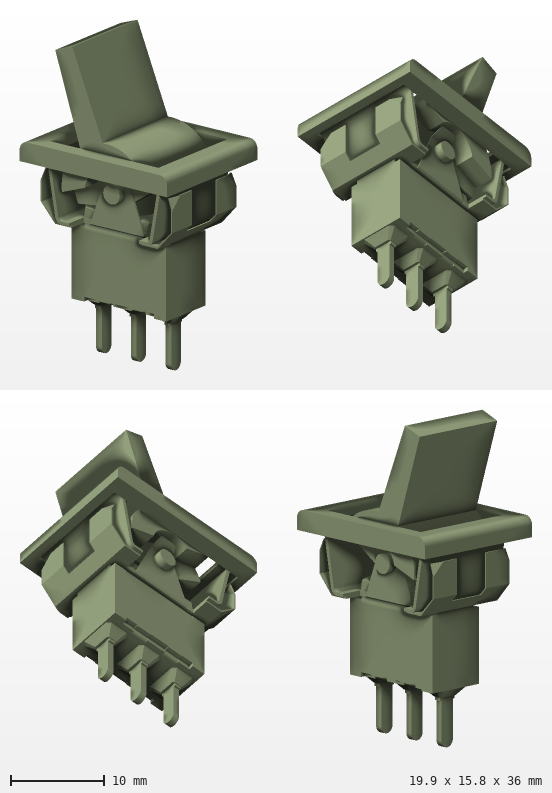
import cadquery as cq
import math


FRAME_LENGTH = 19.85
FRAME_DEPTH = 15.8
FRAME_BOTTOM = 22.55
FRAME_THICKNESS = 2.3
FRAME_EDGE_RADIUS = 1.0
WINDOW_LENGTH = 14.68
WINDOW_DEPTH = 12.1
LIP_HALF_X = 6.48
LIP_UNDERSIDE = 23.3
FLANGE_POCKET_HALF_X = 8.8

BODY_LENGTH = 12.75
BODY_DEPTH = 6.85
BODY_BOTTOM = 6.62
BODY_TOP = 15.75
COVER_LENGTH = 9.43
COVER_RADIUS = 1.0
CORNER_NOTCH_BOTTOM = 15.08
CORNER_NOTCH_HALF_Y = 2.63
BOSS_RADIUS = 5.85
BOSS_TOP = 17.25
BOSS_DRAFT = 7.0
BUSHING_DIAMETER = 5.2
BUSHING_TOP = 19.6
BASE_WINDOW_HEIGHT = 0.55
BASE_RECESS = 0.58
BASE_GAP_INNER = 1.25
BASE_GAP_OUTER = 3.15
BASE_GAP_RADIUS = 0.43

TERMINAL_PITCH = 4.68
TERMINAL_WIDTH = 0.8
BLADE_DEPTH = 1.65
COLLAR_DEPTH = 2.1
COLLAR_BOTTOM = 5.2
SEAL_BOTTOM = 5.6
SEAL_TOP_X, SEAL_TOP_Y = 3.05, 4.3
SEAL_LOW_X, SEAL_LOW_Y = 1.35, 2.23
SEAL_TOP_CORNER = 0.43
SEAL_LOW_CORNER = 0.18

BRACKET_THICKNESS = 0.35
BRACKET_FLOOR_HALF_X = 6.45
BRACKET_TOP_HALF_X = 7.75
BRACKET_DEPTH = WINDOW_DEPTH
BRACKET_BEND_RADIUS = 0.5

EAR_INNER_Y = 3.53
EAR_THICKNESS = 0.2
EAR_BOTTOM = 15.5
EAR_BOTTOM_HALF_X = 3.7
EAR_BEND_Z = 21.5
EAR_BEND_HALF_X = 1.48
EAR_TIP_HALF_X = 1.05
EAR_TIP_RISE = 1.15
EAR_EDGE_CHAMFER = 0.18

CLIP_THICKNESS = 0.15
CLIP_FLOOR_THICKNESS = 0.25
CLIP_DEPTH = 11.23
CLIP_HALF_X = 8.85
CLIP_FOOT_HALF_X = 6.9
CLIP_KNEE_Z = 17.65
CLIP_TOP = 21.6
CLIP_SLOT_DEPTH = 4.25
CLIP_SLOT_BOTTOM = 16.85
CLIP_CORNER = 1.48
CLIP_FOLD_ANGLE = 32.0

PIVOT_Z = 19.97
PIVOT_DIAMETER = 2.2
PIN_LENGTH = 9.5
ROCKER_TILT = -20.0
ROCKER_DEPTH = 11.4
ROCKER_CORE_DEPTH = 7.0
ROCKER_RADIUS = 5.97
ROCKER_CORNER_Z = -0.43
ROCKER_UNDERSIDE_SLOPE = 13.0
RECESS_Z = 1.4
RECESS_RADIUS = 2.88
LEVER_TOP_Z = 16.6
LEVER_TOP_HALF_X = 1.22
LEVER_ROOT_Z = 5.05
LEVER_ROOT_HALF_X = 1.65


def box(x0, x1, y0, y1, z0, z1):
    """Block between two opposite corners."""
    return cq.Workplane("XY").box(x1 - x0, y1 - y0, z1 - z0, centered=False).translate((x0, y0, z0))


def centered_block(length, depth, z0, z1):
    return box(-length / 2, length / 2, -depth / 2, depth / 2, z0, z1)


def across(outline, depth):
    """Extrude an XZ outline by depth, centred on Y = 0."""
    return cq.Workplane("XZ").polyline(outline).close().extrude(depth / 2, both=True)


def both_sides(shape, plane):
    return shape.union(shape.mirror(plane))


def make_frame():
    top = FRAME_BOTTOM + FRAME_THICKNESS
    plate = centered_block(FRAME_LENGTH, FRAME_DEPTH, FRAME_BOTTOM, top)
    plate = plate.faces(">Z").edges("|Y").fillet(FRAME_EDGE_RADIUS)
    ramp = WINDOW_LENGTH / 2 - LIP_HALF_X
    window = across([
        (-WINDOW_LENGTH / 2, top), (WINDOW_LENGTH / 2, top), (LIP_HALF_X, top - ramp),
        (LIP_HALF_X, FRAME_BOTTOM), (-LIP_HALF_X, FRAME_BOTTOM), (-LIP_HALF_X, top - ramp),
    ], WINDOW_DEPTH)
    flange_pocket = centered_block(2 * FLANGE_POCKET_HALF_X, WINDOW_DEPTH, FRAME_BOTTOM, LIP_UNDERSIDE)
    return plate.cut(window).cut(flange_pocket)


def make_body():
    half_y = BODY_DEPTH / 2
    core = centered_block(BODY_LENGTH, BODY_DEPTH, BODY_BOTTOM, CORNER_NOTCH_BOTTOM)
    ridge = centered_block(BODY_LENGTH, 2 * CORNER_NOTCH_HALF_Y, BODY_BOTTOM, BODY_TOP)
    cover = centered_block(COVER_LENGTH, BODY_DEPTH, BODY_BOTTOM, BODY_TOP)
    cover = cover.faces(">Z").edges("|X").fillet(COVER_RADIUS)
    clearance = centered_block(COVER_LENGTH, BODY_DEPTH, BODY_TOP - COVER_RADIUS, BODY_TOP)
    body = core.union(ridge).cut(clearance).union(cover)

    boss = cq.Workplane("XY").workplane(offset=BODY_TOP).circle(BOSS_RADIUS)
    boss = boss.extrude(BOSS_TOP - BODY_TOP, taper=BOSS_DRAFT)
    boss = boss.intersect(centered_block(2 * BOSS_RADIUS, BODY_DEPTH, BODY_TOP, BOSS_TOP))
    bushing = cq.Workplane("XY").workplane(offset=BODY_TOP).circle(BUSHING_DIAMETER / 2)
    bushing = bushing.extrude(BUSHING_TOP - BODY_TOP)
    body = body.union(boss).union(bushing)

    base_y = BASE_RECESS - half_y
    end_x = COVER_LENGTH / 2
    window_top = BODY_BOTTOM + BASE_WINDOW_HEIGHT
    round_y = base_y + BASE_GAP_RADIUS
    round_z = BODY_BOTTOM + BASE_GAP_RADIUS
    middle_window = box(-BASE_GAP_INNER, BASE_GAP_INNER, -half_y, base_y, BODY_BOTTOM, window_top)
    end_window = box(BASE_GAP_OUTER, end_x, -half_y, base_y, BODY_BOTTOM, window_top)
    gap = box(BASE_GAP_INNER, BASE_GAP_OUTER, -half_y, round_y, BODY_BOTTOM, round_z)
    rounding = cq.Workplane("YZ").center(round_y, round_z).circle(BASE_GAP_RADIUS).extrude(BASE_GAP_OUTER)
    cuts = both_sides(end_window.union(gap.cut(rounding)), "YZ").union(middle_window)
    return body.cut(both_sides(cuts, "XZ"))


def seal_section(plane, length, depth, corner):
    """Rectangle with its four corners cut off."""
    x, y = length / 2, depth / 2
    return plane.polyline([
        (x - corner, y), (x, y - corner), (x, corner - y), (x - corner, -y),
        (corner - x, -y), (-x, corner - y), (-x, y - corner), (corner - x, y),
    ]).close()


def make_terminal():
    tip_radius = BLADE_DEPTH / 2
    blade = centered_block(TERMINAL_WIDTH, BLADE_DEPTH, tip_radius, SEAL_BOTTOM)
    tip = cq.Workplane("YZ").center(0, tip_radius).circle(tip_radius).extrude(TERMINAL_WIDTH / 2, both=True)
    collar = centered_block(TERMINAL_WIDTH, COLLAR_DEPTH, COLLAR_BOTTOM, SEAL_BOTTOM)
    seal = cq.Workplane("XY").workplane(offset=SEAL_BOTTOM)
    seal = seal_section(seal, SEAL_LOW_X, SEAL_LOW_Y, SEAL_LOW_CORNER)
    seal = seal.workplane(offset=BODY_BOTTOM - SEAL_BOTTOM)
    seal = seal_section(seal, SEAL_TOP_X, SEAL_TOP_Y, SEAL_TOP_CORNER).loft(ruled=True)
    return blade.union(tip).union(collar).union(seal)


def round_bend(shape, x, z, radius):
    """Round the edge that runs along Y through the given XZ point."""
    return shape.edges("|Y").edges(cq.NearestToPointSelector((x, 0, z))).fillet(radius)


def make_bracket():
    t = BRACKET_THICKNESS
    floor_top = BODY_TOP + t
    flange_top = LIP_UNDERSIDE
    flange_bottom = flange_top - t
    inner_radius = BRACKET_BEND_RADIUS
    outer_radius = inner_radius + t
    foot_outer = (BRACKET_FLOOR_HALF_X, BODY_TOP)
    foot_inner = (BRACKET_FLOOR_HALF_X - t, floor_top)
    head_outer = (BRACKET_TOP_HALF_X, flange_bottom)
    head_inner = (BRACKET_TOP_HALF_X - t, flange_top)
    half = across([
        (0, BODY_TOP), foot_outer, head_outer, (FLANGE_POCKET_HALF_X, flange_bottom),
        (FLANGE_POCKET_HALF_X, flange_top), head_inner, foot_inner, (0, floor_top),
    ], BRACKET_DEPTH)
    half = round_bend(half, *foot_outer, outer_radius)
    half = round_bend(half, *foot_inner, inner_radius)
    half = round_bend(half, *head_outer, outer_radius)
    half = round_bend(half, *head_inner, inner_radius)
    side_gap = box(0, COVER_LENGTH / 2, EAR_INNER_Y, BRACKET_DEPTH, BODY_TOP, floor_top)
    return both_sides(half.cut(both_sides(side_gap, "XZ")), "YZ")


def make_ear():
    """Ear on the -Y side: an upright trapezoid whose tip leans outward at 45 degrees."""
    outer_y = -EAR_INNER_Y - EAR_THICKNESS
    tip_z = EAR_BEND_Z + EAR_TIP_RISE
    side = cq.Workplane("YZ").polyline([
        (-EAR_INNER_Y, EAR_BOTTOM), (-EAR_INNER_Y, EAR_BEND_Z), (-EAR_INNER_Y - EAR_TIP_RISE, tip_z),
        (outer_y - EAR_TIP_RISE, tip_z), (outer_y, EAR_BEND_Z),
        (outer_y, EAR_BOTTOM + EAR_EDGE_CHAMFER), (outer_y + EAR_EDGE_CHAMFER, EAR_BOTTOM),
    ]).close().extrude(EAR_BOTTOM_HALF_X, both=True)
    face = across([
        (-EAR_BOTTOM_HALF_X, EAR_BOTTOM), (EAR_BOTTOM_HALF_X, EAR_BOTTOM), (EAR_BEND_HALF_X, EAR_BEND_Z),
        (EAR_TIP_HALF_X, tip_z), (-EAR_TIP_HALF_X, tip_z), (-EAR_BEND_HALF_X, EAR_BEND_Z),
    ], FRAME_DEPTH)
    return side.intersect(face)


def make_clip():
    floor_bottom = BODY_TOP - CLIP_FLOOR_THICKNESS
    t = CLIP_THICKNESS
    foot_x = CLIP_FOOT_HALF_X
    half_y = CLIP_DEPTH / 2
    arm = across([
        (COVER_LENGTH / 2, floor_bottom), (foot_x, floor_bottom), (CLIP_HALF_X, CLIP_KNEE_Z),
        (CLIP_HALF_X, CLIP_TOP), (CLIP_HALF_X - t, CLIP_TOP), (CLIP_HALF_X - t, CLIP_KNEE_Z),
        (foot_x - t / 2, BODY_TOP), (COVER_LENGTH / 2, BODY_TOP),
    ], CLIP_DEPTH)
    slot = centered_block(2 * CLIP_HALF_X, CLIP_SLOT_DEPTH, CLIP_SLOT_BOTTOM, CLIP_TOP)
    arm = arm.cut(slot)

    corner = cq.Workplane("YZ").workplane(offset=CLIP_HALF_X - t).polyline([
        (-half_y, CLIP_TOP), (CLIP_CORNER - half_y, CLIP_TOP), (-half_y, CLIP_TOP - CLIP_CORNER),
    ]).close().extrude(t)
    fold_start = (CLIP_HALF_X, -half_y, CLIP_TOP - CLIP_CORNER)
    fold_end = (CLIP_HALF_X, CLIP_CORNER - half_y, CLIP_TOP)
    folded = corner.rotate(fold_start, fold_end, -CLIP_FOLD_ANGLE)
    arm = arm.cut(both_sides(corner, "XZ")).union(both_sides(folded, "XZ"))
    middle = centered_block(COVER_LENGTH, 2 * EAR_INNER_Y, floor_bottom, BODY_TOP)
    return both_sides(arm, "YZ").union(middle)


def make_rocker():
    corner_x = math.sqrt(ROCKER_RADIUS**2 - ROCKER_CORNER_Z**2)
    keel_z = ROCKER_CORNER_Z - corner_x * math.tan(math.radians(ROCKER_UNDERSIDE_SLOPE))
    drum = cq.Workplane("XZ").moveTo(-corner_x, ROCKER_CORNER_Z)
    drum = drum.threePointArc((0, ROCKER_RADIUS), (corner_x, ROCKER_CORNER_Z))
    drum = drum.lineTo(0, keel_z).close().extrude(ROCKER_DEPTH / 2, both=True)
    lever = across([
        (-LEVER_ROOT_HALF_X, LEVER_ROOT_Z), (LEVER_ROOT_HALF_X, LEVER_ROOT_Z),
        (LEVER_TOP_HALF_X, LEVER_TOP_Z), (-LEVER_TOP_HALF_X, LEVER_TOP_Z),
    ], ROCKER_DEPTH)
    rocker = drum.union(lever)

    recess_depth = (ROCKER_DEPTH - ROCKER_CORE_DEPTH) / 2
    recess = cq.Workplane("XZ", origin=(0, -ROCKER_CORE_DEPTH / 2, 0)).circle(RECESS_RADIUS).extrude(recess_depth)
    lower_half = box(-ROCKER_RADIUS, ROCKER_RADIUS, -ROCKER_DEPTH / 2, -ROCKER_CORE_DEPTH / 2,
                     -ROCKER_RADIUS, RECESS_Z)
    recess = recess.union(lower_half)
    rocker = rocker.cut(both_sides(recess, "XZ"))

    pin = cq.Workplane("XZ").circle(PIVOT_DIAMETER / 2).extrude(PIN_LENGTH / 2, both=True)
    rocker = rocker.union(pin)
    return rocker.rotate((0, 0, 0), (0, 1, 0), ROCKER_TILT).translate((0, 0, PIVOT_Z))


result = make_frame().union(make_body()).union(make_bracket()).union(make_clip())
result = result.union(both_sides(make_ear(), "XZ")).union(make_rocker())
for position in (-1, 0, 1):
    result = result.union(make_terminal().translate((position * TERMINAL_PITCH, 0, 0)))